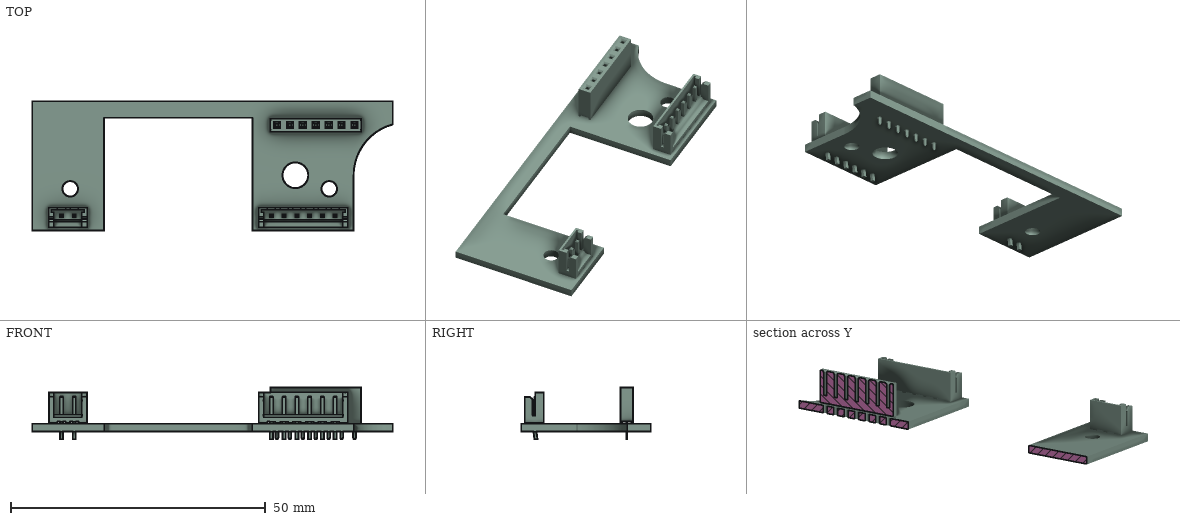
import cadquery as cq
import math

BOARD_LENGTH = 70.71
BOARD_DEPTH = 25.41
BOARD_THICKNESS = 1.6
NOTCH_LEFT = 14.1
NOTCH_RIGHT = 43.15
NOTCH_DEPTH = 22.1
RIGHT_LEG_END = 63.05
SCOOP_RADIUS = 10.3
SCOOP_CENTRE_Y = 10.86

MOUNT_HOLE_DIAMETER = 3.0
MOUNT_HOLE_Y = 8.2
MOUNT_HOLE_XS = (7.45, 58.25)
LARGE_HOLE_DIAMETER = 5.0
LARGE_HOLE_X = 51.6
LARGE_HOLE_Y = SCOOP_CENTRE_Y

PIN_PROTRUSION = 1.5

HEADER_PITCH = 2.5
HEADER_END_MARGIN = 2.5
HEADER_DEPTH = 3.8
HEADER_FRONT_Y = 0.65
HEADER_TOP = 6.1
HEADER_POST_TOP = 5.25
HEADER_STANDOFF = 0.15
HEADER_BACK_WALL = 0.4
HEADER_CHEEK = 1.0
KEY_RECESS_WALL = 0.5
KEY_RECESS_DEPTH = 0.45
FLOOR_TOP = 1.7
SILL_TOP = 1.25
SILL_DEPTH = 1.05
SILL_SLOPE_RUN = 0.4
SLOT_FRONT = 1.57
SLOT_BACK = 2.1
SLOT_BOTTOM = 1.5
POST_CHAMFER = 0.65
BARB_REACH = 0.15
VENT_WIDTH = 1.6
VENT_TOP = 0.4
HEADER_PIN_WIDTH = 0.64
HEADER_PIN_TOP = 5.4
HEADER_PIN_TIP = 0.25
HEADER_PIN_TIP_WIDTH = 0.3
HEADER_PIN_FROM_FRONT = 2.25
HEADER_PIN_KINK = 0.2
KINK_HEIGHT = 0.5
HEADER_HOLE_DIAMETER = 0.95
HEADERS = ((2, 7.0), (6, 53.15))

SOCKET_COUNT = 7
SOCKET_PITCH = 2.54
SOCKET_DEPTH = 2.54
SOCKET_HEIGHT = 7.1
SOCKET_X = 55.6
SOCKET_Y = 20.7
SOCKET_MOUTH = 1.3
SOCKET_BORE = 0.6
SOCKET_FUNNEL_DEPTH = 0.3
SOCKET_BORE_DEPTH = 5.0
SOCKET_CHANNEL_WIDTH = 1.8
SOCKET_CHANNEL_HEIGHT = 0.4
SOCKET_PIN_WIDTH = 0.64
SOCKET_PIN_THICKNESS = 0.2
SOCKET_PIN_TIP = 0.4
SOCKET_PIN_TIP_WIDTH = 0.3
SOCKET_HOLE_DIAMETER = 1.0


def row(count, pitch, middle):
    """X places of evenly spaced pins about a middle."""
    return [middle + (i - (count - 1) / 2) * pitch for i in range(count)]


def block(x0, x1, y0, y1, z0, z1):
    """Box between two opposite corners."""
    return cq.Workplane("XY").box(x1 - x0, y1 - y0, z1 - z0, centered=False).translate((x0, y0, z0))


def side_prism(points, x0, x1):
    """Closed (Y, Z) outline extruded along X."""
    return cq.Workplane("YZ").polyline(points).close().extrude(x1 - x0).translate((x0, 0, 0))


def front_prism(points, y0, y1):
    """Closed (X, Z) outline extruded along +Y."""
    return cq.Workplane("XZ").polyline(points).close().extrude(y0 - y1).translate((0, y0, 0))


def make_board():
    centre_x = RIGHT_LEG_END + SCOOP_RADIUS
    end_angle = math.acos((BOARD_LENGTH - centre_x) / SCOOP_RADIUS)
    mid_angle = (math.pi + end_angle) / 2

    def scoop_point(angle):
        return (centre_x + SCOOP_RADIUS * math.cos(angle), SCOOP_CENTRE_Y + SCOOP_RADIUS * math.sin(angle))

    board = (
        cq.Workplane("XY")
        .lineTo(NOTCH_LEFT, 0)
        .lineTo(NOTCH_LEFT, NOTCH_DEPTH)
        .lineTo(NOTCH_RIGHT, NOTCH_DEPTH)
        .lineTo(NOTCH_RIGHT, 0)
        .lineTo(RIGHT_LEG_END, 0)
        .lineTo(RIGHT_LEG_END, SCOOP_CENTRE_Y)
        .threePointArc(scoop_point(mid_angle), scoop_point(end_angle))
        .lineTo(BOARD_LENGTH, BOARD_DEPTH)
        .lineTo(0, BOARD_DEPTH)
        .close()
        .extrude(BOARD_THICKNESS)
    )
    header_hole_y = HEADER_FRONT_Y + HEADER_PIN_FROM_FRONT - HEADER_PIN_KINK
    header_holes = [(x, header_hole_y) for count, middle in HEADERS for x in row(count, HEADER_PITCH, middle)]
    socket_holes = [(x, SOCKET_Y) for x in row(SOCKET_COUNT, SOCKET_PITCH, SOCKET_X)]
    hole_groups = (
        (MOUNT_HOLE_DIAMETER, [(x, MOUNT_HOLE_Y) for x in MOUNT_HOLE_XS]),
        (LARGE_HOLE_DIAMETER, [(LARGE_HOLE_X, LARGE_HOLE_Y)]),
        (HEADER_HOLE_DIAMETER, header_holes),
        (SOCKET_HOLE_DIAMETER, socket_holes),
    )
    for diameter, places in hole_groups:
        holes = cq.Workplane("XY").pushPoints(places).circle(diameter / 2).extrude(BOARD_THICKNESS)
        board = board.cut(holes)
    return board


def make_header_pin(x):
    """Square pin, set forward in the board, with a tail sloping back and a tapered upper tip.

    Z = 0 is the top of the board and Y = 0 the front of the housing.
    """
    half = HEADER_PIN_WIDTH / 2
    shoulder = HEADER_PIN_TOP - HEADER_PIN_TIP
    axis = [
        (HEADER_PIN_FROM_FRONT, shoulder),
        (HEADER_PIN_FROM_FRONT, VENT_TOP + KINK_HEIGHT),
        (HEADER_PIN_FROM_FRONT - HEADER_PIN_KINK, VENT_TOP),
        (HEADER_PIN_FROM_FRONT - HEADER_PIN_KINK, -BOARD_THICKNESS),
        (HEADER_PIN_FROM_FRONT, -BOARD_THICKNESS - PIN_PROTRUSION),
    ]
    back = [(y + half, z) for y, z in axis]
    front = [(y - half, z) for y, z in reversed(axis)]
    shank = side_prism(back + front, x - half, x + half)
    tip = (
        cq.Workplane("XY", origin=(x, HEADER_PIN_FROM_FRONT, shoulder))
        .rect(HEADER_PIN_WIDTH, HEADER_PIN_WIDTH)
        .workplane(offset=HEADER_PIN_TIP)
        .rect(HEADER_PIN_TIP_WIDTH, HEADER_PIN_TIP_WIDTH)
        .loft(ruled=True)
    )
    return shank.union(tip)


def make_header(count, middle):
    """Shrouded header with an open front, built as housing and pins in one solid."""
    pin_xs = row(count, HEADER_PITCH, 0)
    end = pin_xs[-1] + HEADER_END_MARGIN
    window = end - HEADER_CHEEK
    recess = end - KEY_RECESS_WALL
    cavity_back = HEADER_DEPTH - HEADER_BACK_WALL

    barb_y = SLOT_FRONT + BARB_REACH
    barb_z = HEADER_POST_TOP - POST_CHAMFER
    end_profile = [
        (0, HEADER_STANDOFF),
        (0, HEADER_POST_TOP),
        (barb_y - POST_CHAMFER, HEADER_POST_TOP),
        (barb_y, barb_z),
        (SLOT_FRONT, barb_z - BARB_REACH),
        (SLOT_FRONT, SLOT_BOTTOM),
        (SLOT_BACK, SLOT_BOTTOM),
        (SLOT_BACK, HEADER_TOP),
        (HEADER_DEPTH, HEADER_TOP),
        (HEADER_DEPTH, HEADER_STANDOFF),
    ]
    housing = side_prism(end_profile, -end, end)

    sill_profile = [
        (0, HEADER_STANDOFF),
        (0, SILL_TOP),
        (SILL_DEPTH, SILL_TOP),
        (SILL_DEPTH + SILL_SLOPE_RUN, FLOOR_TOP),
        (cavity_back, FLOOR_TOP),
        (cavity_back, HEADER_STANDOFF),
    ]
    cavity = block(-window, window, 0, cavity_back, HEADER_STANDOFF, HEADER_TOP)
    housing = housing.cut(cavity).union(side_prism(sill_profile, -window, window))
    key_recess = block(-recess, recess, cavity_back - KEY_RECESS_DEPTH, cavity_back, FLOOR_TOP, HEADER_TOP)
    housing = housing.cut(key_recess)

    for x in pin_xs:
        half = VENT_WIDTH / 2
        vent = block(x - half, x + half, 0, HEADER_DEPTH, HEADER_STANDOFF, VENT_TOP)
        housing = housing.cut(vent)
    for x in pin_xs:
        housing = housing.union(make_header_pin(x))
    return housing.translate((middle, HEADER_FRONT_Y, BOARD_THICKNESS))


def make_socket_bore():
    """Square bore with a funnel mouth, its top centre at the origin."""
    funnel = (
        cq.Workplane("XY")
        .rect(SOCKET_MOUTH, SOCKET_MOUTH)
        .workplane(offset=-SOCKET_FUNNEL_DEPTH)
        .rect(SOCKET_BORE, SOCKET_BORE)
        .loft(ruled=True)
    )
    bore = cq.Workplane("XY").rect(SOCKET_BORE, SOCKET_BORE).extrude(-SOCKET_BORE_DEPTH)
    return funnel.union(bore)


def make_socket_pin(x):
    """Flat solder tail with a narrowed end, starting at the roof of the underside channel."""
    half = SOCKET_PIN_WIDTH / 2
    tip_half = SOCKET_PIN_TIP_WIDTH / 2
    bottom = -BOARD_THICKNESS - PIN_PROTRUSION
    outline = [
        (x - half, SOCKET_CHANNEL_HEIGHT),
        (x + half, SOCKET_CHANNEL_HEIGHT),
        (x + half, bottom + SOCKET_PIN_TIP),
        (x + tip_half, bottom),
        (x - tip_half, bottom),
        (x - half, bottom + SOCKET_PIN_TIP),
    ]
    return front_prism(outline, -SOCKET_PIN_THICKNESS / 2, SOCKET_PIN_THICKNESS / 2)


def make_socket():
    """Socket strip with an underside channel, built as housing and tails in one solid."""
    end = SOCKET_COUNT * SOCKET_PITCH / 2
    half_depth = SOCKET_DEPTH / 2
    half_channel = SOCKET_CHANNEL_WIDTH / 2
    socket = block(-end, end, -half_depth, half_depth, 0, SOCKET_HEIGHT)
    socket = socket.cut(block(-end, end, -half_channel, half_channel, 0, SOCKET_CHANNEL_HEIGHT))
    bore = make_socket_bore()
    for x in row(SOCKET_COUNT, SOCKET_PITCH, 0):
        socket = socket.cut(bore.translate((x, 0, SOCKET_HEIGHT)))
        socket = socket.union(make_socket_pin(x))
    return socket.translate((SOCKET_X, SOCKET_Y, BOARD_THICKNESS))


board = make_board()
headers = [make_header(count, middle) for count, middle in HEADERS]
socket = make_socket()

result = cq.Compound.makeCompound([board.val(), *[header.val() for header in headers], socket.val()])